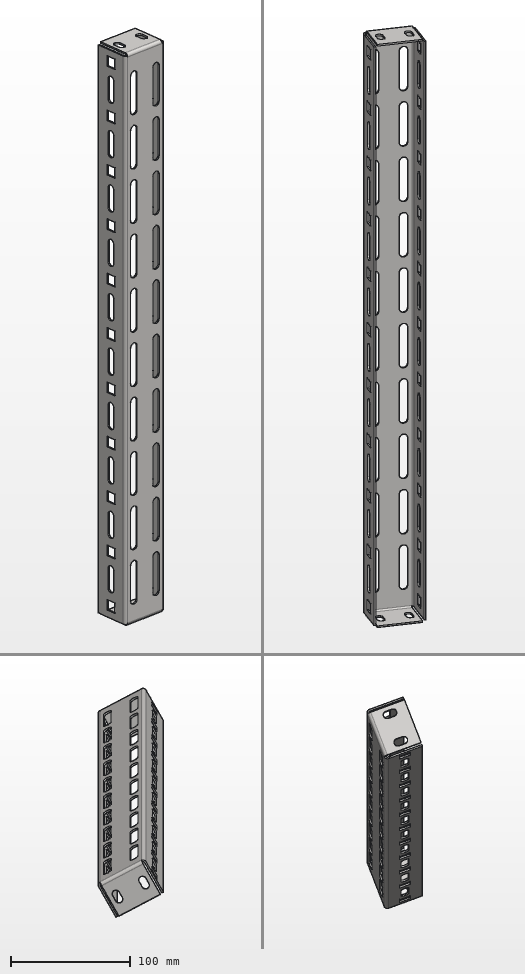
import cadquery as cq


depth = 33.0
width = 45.0
length = 526.0

thickness = 1.5
bend_radius = 2.9
wall_setback = 2.0

pitch = 50.0
row_count = 10
hole_size = 9.5
side_slot_length = 24.5
side_slot_width = 7.0
web_slot_length = 40.0
web_slot_width = 7.5
end_slot_length = 11.5
end_slot_width = 6.5
slot_line_offset = 12.5
side_line_x = -1.0

wall_length = length - 2 * wall_setback
flange_width = width - 2 * bend_radius
inner_radius = bend_radius - thickness


def folded_sheet(plane, across, extent):
    """U-shaped sheet open toward -X: profile in the plane, extent centred on it."""
    outer = (
        cq.Workplane(plane)
        .rect(depth, across)
        .extrude(extent / 2, both=True)
    )
    inner = (
        cq.Workplane(plane)
        .center(-thickness, 0)
        .rect(depth, across - 2 * thickness)
        .extrude(extent / 2, both=True)
    )
    bend_edges = "|Z" if plane == "XY" else "|Y"
    outer = outer.edges(bend_edges).edges(">X").fillet(bend_radius)
    inner = inner.edges(bend_edges).edges(">X").fillet(inner_radius)
    return outer.cut(inner)


def channel():
    """Web with side walls and end flanges."""
    side_walls = folded_sheet("XY", width, wall_length)
    end_zone = (
        cq.Workplane("XY")
        .box(depth, flange_width, length)
        .cut(cq.Workplane("XY").box(depth, flange_width, length - 2 * bend_radius))
    )
    return side_walls.cut(end_zone).union(folded_sheet("XZ", length, flange_width))


def centred(count):
    """Positions at the pitch, centred on zero."""
    return [(i - (count - 1) / 2) * pitch for i in range(count)]


def side_wall_cuts():
    """Alternating square holes and slots through both side walls."""
    holes = (
        cq.Workplane("XZ")
        .pushPoints([(side_line_x, z) for z in centred(row_count + 1)])
        .rect(hole_size, hole_size)
        .extrude(width, both=True)
    )
    slots = (
        cq.Workplane("XZ")
        .pushPoints([(side_line_x, z) for z in centred(row_count)])
        .slot2D(side_slot_length, side_slot_width, 90)
        .extrude(width, both=True)
    )
    return holes.union(slots)


def web_cuts():
    """Two lines of long slots through the web."""
    places = [(y, z) for y in (-slot_line_offset, slot_line_offset) for z in centred(row_count)]
    return (
        cq.Workplane("YZ")
        .pushPoints(places)
        .slot2D(web_slot_length, web_slot_width, 90)
        .extrude(depth)
    )


def end_flange_cuts():
    """Two slots through each end flange."""
    return (
        cq.Workplane("XY")
        .pushPoints([(side_line_x, y) for y in (-slot_line_offset, slot_line_offset)])
        .slot2D(end_slot_length, end_slot_width)
        .extrude(length, both=True)
    )


result = channel().cut(side_wall_cuts()).cut(web_cuts()).cut(end_flange_cuts())